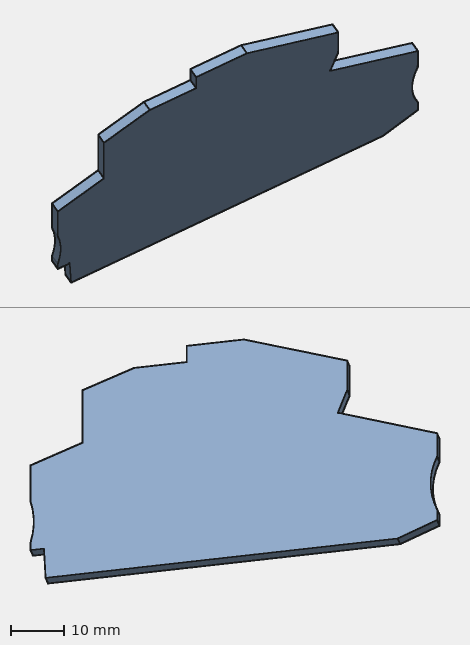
import cadquery as cq

thickness = 2.2
length = 78.0
height = 46.95

front = -length / 2
back = length / 2

back_corner_run = 7.6
back_corner_height = 3.05
foot_height = 6.4
foot_inset_top = 2.6
foot_inset_bottom = 2.9

front_relief_bottom = 8.0
front_relief_top = 16.9
front_relief_depth = 0.6
back_relief_bottom = 5.45
back_relief_top = 16.85
back_relief_depth = 1.25

front_shoulder_low = 24.8
front_shoulder_high = 28.5
back_shoulder_low = 21.9
back_shoulder_high = 28.8

front_wall_y = front + 10.0
back_wall_y = back - 17.2
notch_y = back - 19.0
notch_top = 33.5
eave_height = 39.85
ledge_height = 43.45
ledge_front_y = front + 19.9
step_y = front + 29.95
peak_back_y = back - 37.05


def relief_middle(edge_y, inward_depth, bottom, top):
    """Deepest point of a relief arc in an end edge."""
    return edge_y + inward_depth, (bottom + top) / 2


front_relief_middle = relief_middle(front, front_relief_depth, front_relief_bottom, front_relief_top)
back_relief_middle = relief_middle(back, -back_relief_depth, back_relief_bottom, back_relief_top)

outline = (
    cq.Workplane("YZ")
    .moveTo(front + foot_inset_bottom, 0)
    .lineTo(front + foot_inset_top, foot_height)
    .lineTo(front, foot_height)
    .lineTo(front, front_relief_bottom)
    .threePointArc(front_relief_middle, (front, front_relief_top))
    .lineTo(front, front_shoulder_low)
    .lineTo(front_wall_y, front_shoulder_high)
    .lineTo(front_wall_y, eave_height)
    .lineTo(ledge_front_y, ledge_height)
    .lineTo(step_y, ledge_height)
    .lineTo(step_y, height)
    .lineTo(peak_back_y, height)
    .lineTo(back_wall_y, eave_height)
    .lineTo(back_wall_y, notch_top)
    .lineTo(notch_y, back_shoulder_high)
    .lineTo(back, back_shoulder_low)
    .lineTo(back, back_relief_top)
    .threePointArc(back_relief_middle, (back, back_relief_bottom))
    .lineTo(back, back_corner_height)
    .lineTo(back - back_corner_run, 0)
    .close()
)

result = outline.extrude(thickness / 2, both=True)